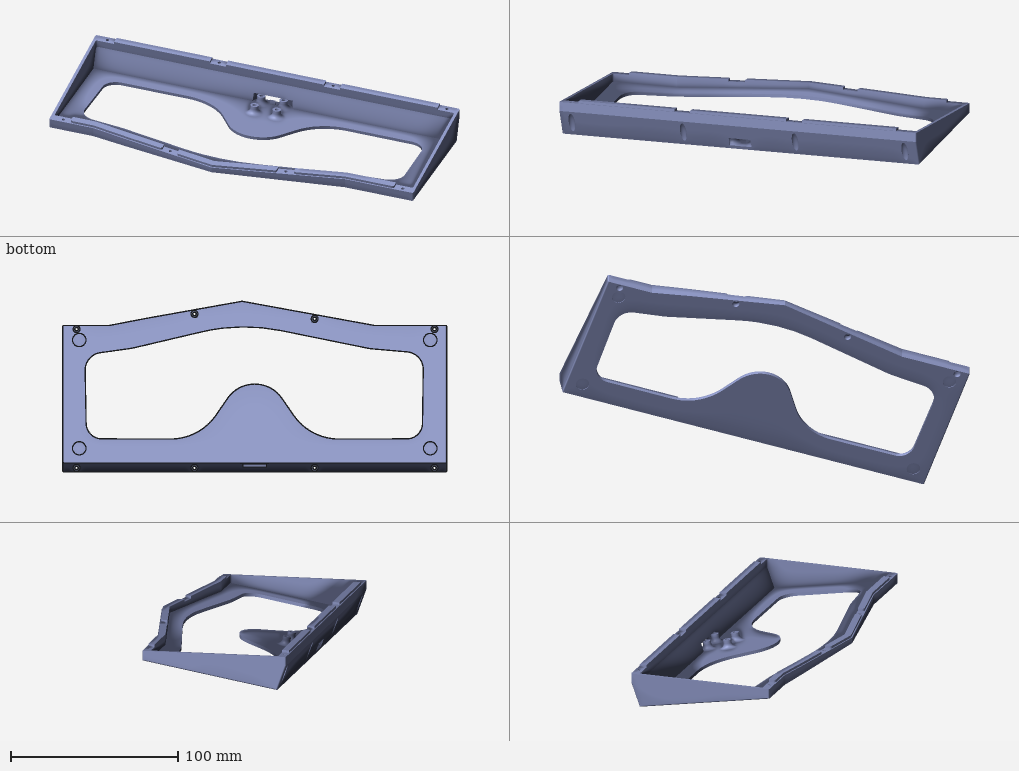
import cadquery as cq
import math


LENGTH = 229.8
HALF_LENGTH = LENGTH / 2
TIP_Y = -102.3
FRONT_Y = -87.8
TIP_X = -7.5
BEND_LEFT_X = -87.0
BEND_MIDDLE = (-64.4, -92.2)
BEND_RIGHT_X = 71.7
HEIGHT = 22.0
RIB_HEIGHT = 1.5
DEPTH = HEIGHT - RIB_HEIGHT
SIDE_EDGE_RADIUS = 0.8
CAVITY_CORNER_RADIUS = 1.0

FLOOR_ANGLE = 10.0
BACK_ANGLE = 20.0
BACK_LIP_HEIGHT = 5.5
BACK_WALL = 5.0
SIDE_WALL = 1.8
FRONT_WALL = 4.8
FLOOR_THICKNESS = 2.0
FLOOR_SLOPE = math.tan(math.radians(FLOOR_ANGLE))
BACK_SLOPE = math.tan(math.radians(BACK_ANGLE))
LOWEST_Y = (BACK_LIP_HEIGHT - DEPTH) * BACK_SLOPE
FLOOR_RISE = FLOOR_THICKNESS / math.cos(math.radians(FLOOR_ANGLE))

RIB_INSET = 0.7
RIB_END_RADIUS = 1.4
RIB_SPANS = [(-101.5, -41.1), (-31.0, 30.8), (41.0, 102.5)]

SCREW_X = [-106.6, -36.0, 35.9, 107.5]
BACK_SCREW_Y = -2.5
FRONT_SCREW_Y = [-85.5, -94.7, -91.7, -85.5]
SCREW_DIAMETER = 1.9
SCREW_HEAD_DIAMETER = 4.1
SCREW_HEAD_Z = -2.3

FOOT_DIAMETER = 8.0
FOOT_DEPTH = 0.5
FOOT_X = 105.0
FOOT_Y = [-14.3, -79.0]

POST_X = [-7.1, 7.0]
POST_FRONT_Y = -23.5
POST_PITCH = 13.0
POST_DIAMETER = 5.0
POST_BORE = 2.3
POST_HEIGHT = 5.0
POST_FLARE = 3.0
WINDOW_SILL_Y = -9.5
FLARE_RADIUS = POST_DIAMETER / 2 + POST_FLARE
POST_BACK_Y = POST_FRONT_Y + POST_PITCH * math.cos(math.radians(FLOOR_ANGLE))

OPENING_CORNERS = [
    (-100.7, -20.0, 9.2),
    (-33.0, -19.8, 32.9),
    (0.0, -67.8, 19.8),
    (33.0, -19.8, 32.9),
    (100.2, -20.0, 9.2),
    (101.0, -71.0, 10.3),
    (69.0, -73.8, 46.0),
    (-8.0, -89.5, 110.3),
    (-73.5, -74.0, 46.0),
    (-101.5, -70.0, 10.3),
]


def rounded_polygon(corners):
    """Closed outline in plan; each corner is (x, y, radius), radius 0 staying sharp."""
    wire = None
    for i, (x, y, radius) in enumerate(corners):
        corner = cq.Vector(x, y)
        to_last = (cq.Vector(*corners[i - 1][:2]) - corner).normalized()
        to_next = (cq.Vector(*corners[(i + 1) % len(corners)][:2]) - corner).normalized()
        half_angle = to_last.getAngle(to_next) / 2
        reach = radius / math.tan(half_angle)
        start = (corner + to_last * reach).toTuple()[:2]
        end = (corner + to_next * reach).toTuple()[:2]
        wire = wire.lineTo(*start) if wire else cq.Workplane().moveTo(*start)
        if radius:
            bisector = (to_last + to_next).normalized()
            middle = corner + bisector * (radius / math.sin(half_angle) - radius)
            wire = wire.threePointArc(middle.toTuple()[:2], end)
    return wire.close()


def front_path(left, right, inset):
    """Points along the bent front edge from left to right, moved back by the inset."""
    bends = [(BEND_LEFT_X, FRONT_Y), BEND_MIDDLE, (TIP_X, TIP_Y), (BEND_RIGHT_X, FRONT_Y)]
    path = [(-HALF_LENGTH, FRONT_Y)] + bends + [(HALF_LENGTH, FRONT_Y)]
    points = []
    for (x0, y0), (x1, y1) in zip(path, path[1:]):
        for x in (left, right):
            if x0 <= x <= x1:
                points.append((x, y0 + (y1 - y0) * (x - x0) / (x1 - x0) + inset))
    points += [(x, y + inset) for x, y in bends if left < x < right]
    return sorted(points)


def plan(side_inset, back_inset, front_inset, corner_radius):
    """Plan outline of the tray, with its four end corners rounded."""
    edge = HALF_LENGTH - side_inset
    left_end, *bends, right_end = front_path(-edge, edge, front_inset)
    corners = [(edge, -back_inset, corner_radius), (-edge, -back_inset, corner_radius)]
    corners.append((*left_end, corner_radius))
    corners += [(x, y, 0) for x, y in bends]
    corners.append((*right_end, corner_radius))
    return rounded_polygon(corners)


def floor_height(y, rise):
    """Height at Y of the sloping underside, raised by the given amount."""
    return -DEPTH + rise + (LOWEST_Y - y) * FLOOR_SLOPE


def side_profile(back_inset, rise):
    """Solid below the rim, bounded by the back wall and the sloping floor, both moved inward."""
    bend_z = -BACK_LIP_HEIGHT + back_inset * math.tan(math.radians(BACK_ANGLE / 2))
    lip_above_floor = bend_z - floor_height(-back_inset, rise)
    heel_y = -back_inset - lip_above_floor * BACK_SLOPE / (1 + FLOOR_SLOPE * BACK_SLOPE)
    points = [
        (-back_inset, 0),
        (-back_inset, bend_z),
        (heel_y, floor_height(heel_y, rise)),
        (TIP_Y, floor_height(TIP_Y, rise)),
        (TIP_Y, 0),
    ]
    return cq.Workplane("YZ").polyline(points).close().extrude(HALF_LENGTH, both=True)


def floor_plane(x, y, rise):
    """Workplane tilted with the floor at (x, y), raised from the underside by the given amount."""
    normal = (0, math.sin(math.radians(FLOOR_ANGLE)), math.cos(math.radians(FLOOR_ANGLE)))
    return cq.Workplane(cq.Plane(origin=(x, y, floor_height(y, rise)), xDir=(1, 0, 0), normal=normal))


def post(x, y):
    """Hollow post square to the floor, with a flared foot sunk into the floor."""
    radius = POST_DIAMETER / 2
    bow = POST_FLARE * (1 - math.sqrt(0.5))
    sunk = FLOOR_THICKNESS / 2
    plane = floor_plane(x, y, FLOOR_RISE).plane
    upright = cq.Plane(origin=plane.origin, xDir=plane.xDir, normal=-plane.yDir)
    return (
        cq.Workplane(upright)
        .moveTo(0, -sunk)
        .lineTo(FLARE_RADIUS, -sunk)
        .lineTo(FLARE_RADIUS, 0)
        .threePointArc((radius + bow, bow), (radius, POST_FLARE))
        .lineTo(radius, POST_HEIGHT)
        .lineTo(POST_BORE / 2, POST_HEIGHT)
        .lineTo(POST_BORE / 2, 0)
        .lineTo(0, 0)
        .close()
        .revolve(360, (0, 0), (0, 1))
    )


outer = plan(0, 0, 0, 0).extrude(-DEPTH).intersect(side_profile(0, 0))
end_edges = outer.faces("<X or >X").edges().edges("not >Z")
outer = outer.newObject(end_edges.objects).fillet(SIDE_EDGE_RADIUS)
cavity = plan(SIDE_WALL, BACK_WALL, FRONT_WALL, CAVITY_CORNER_RADIUS).extrude(-DEPTH)
tray = outer.cut(cavity.intersect(side_profile(BACK_WALL, FLOOR_RISE)))

tray = tray.cut(rounded_polygon(OPENING_CORNERS).extrude(-DEPTH))

window = (
    floor_plane((POST_X[0] + POST_X[1]) / 2, WINDOW_SILL_Y, FLOOR_RISE)
    .rect(POST_X[1] - POST_X[0], POST_PITCH)
    .extrude(POST_HEIGHT)
    .translate((0, POST_PITCH / 2, -POST_PITCH / 2 * FLOOR_SLOPE))
)
tray = tray.cut(window)
for x in POST_X:
    tray = tray.cut(floor_plane(x, POST_BACK_Y, FLOOR_RISE).circle(FLARE_RADIUS).extrude(POST_HEIGHT))

for x in POST_X:
    for y in (POST_FRONT_Y, POST_BACK_Y):
        tray = tray.union(post(x, y).intersect(outer))

for left, right in RIB_SPANS:
    back_rib = [(left, -RIB_INSET), (right, -RIB_INSET), (right, -BACK_WALL), (left, -BACK_WALL)]
    tray = tray.union(cq.Workplane().polyline(back_rib).close().extrude(RIB_HEIGHT))
    face = [(x, y, 0) for x, y in front_path(left, right, RIB_INSET)]
    face[0] = (*face[0][:2], RIB_END_RADIUS)
    face[-1] = (*face[-1][:2], RIB_END_RADIUS)
    inner = [(x, y, 0) for x, y in reversed(front_path(left, right, FRONT_WALL))]
    tray = tray.union(rounded_polygon(face + inner).extrude(RIB_HEIGHT))

screws = [(x, BACK_SCREW_Y) for x in SCREW_X] + list(zip(SCREW_X, FRONT_SCREW_Y))
tray = tray.cut(cq.Workplane().pushPoints(screws).circle(SCREW_DIAMETER / 2).extrude(-DEPTH))
heads = cq.Workplane(origin=(0, 0, SCREW_HEAD_Z)).pushPoints(screws)
tray = tray.cut(heads.circle(SCREW_HEAD_DIAMETER / 2).extrude(-DEPTH))

for x in (-FOOT_X, FOOT_X):
    for y in FOOT_Y:
        tray = tray.cut(floor_plane(x, y, 0).circle(FOOT_DIAMETER / 2).extrude(FOOT_DEPTH))

result = tray